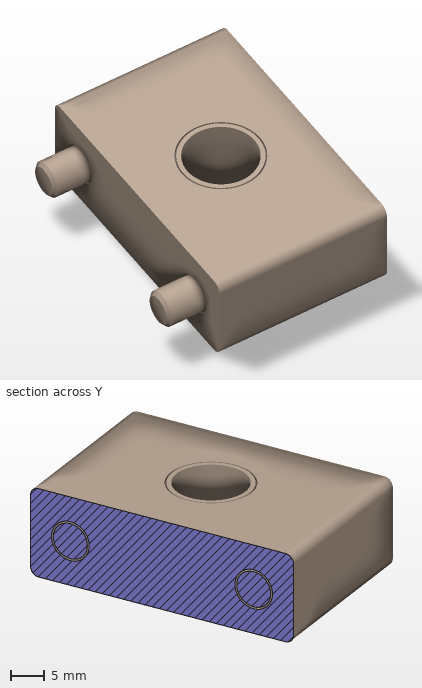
import cadquery as cq

block_width = 46.0
block_depth = 30.0
block_height = 15.0
edge_radius = 1.5

bore_diameter = 12.0
bush_diameter = 13.5
bush_groove_diameter = 14.0

pin_diameter = 6.0
pin_projection = 6.5
pin_spacing = 32.0
pin_chamfer = 0.6
pin_groove_diameter = 6.5

groove_depth = 0.5

front_y = -block_depth / 2
pin_z = block_height / 2


def make_block():
    """Rectangular block with its four long Y edges rounded."""
    block = cq.Workplane("XY").box(block_width, block_depth, block_height, centered=(True, True, False))
    return block.edges("|Y").fillet(edge_radius)


def ring_groove(inner_diameter, outer_diameter):
    """Flat-bottomed ring cutter, open at Z = 0 and going down."""
    return cq.Workplane("XY").circle(outer_diameter / 2).circle(inner_diameter / 2).extrude(-groove_depth)


def make_pin():
    """Pin along +Z from Z = 0, with a 45 degree chamfer at the free end."""
    shank_length = pin_projection - pin_chamfer
    profile = [
        (0, 0),
        (pin_diameter / 2, 0),
        (pin_diameter / 2, shank_length),
        (pin_diameter / 2 - pin_chamfer, pin_projection),
        (0, pin_projection),
    ]
    return cq.Workplane("XZ").polyline(profile).close().revolve(360, (0, 0, 0), (0, 1, 0))


def place_on_front(shape, x):
    """Turn a shape built along +Z to point along -Y and place it on the front face."""
    return shape.rotate((0, 0, 0), (1, 0, 0), 90).translate((x, front_y, pin_z))


result = make_block()

bore = cq.Workplane("XY").circle(bore_diameter / 2).extrude(block_height)
bush_groove = ring_groove(bush_diameter, bush_groove_diameter).translate((0, 0, block_height))
result = result.cut(bore).cut(bush_groove)

pin_groove = ring_groove(pin_diameter, pin_groove_diameter)
for pin_x in (-pin_spacing / 2, pin_spacing / 2):
    result = result.cut(place_on_front(pin_groove, pin_x))
    result = result.union(place_on_front(make_pin(), pin_x))